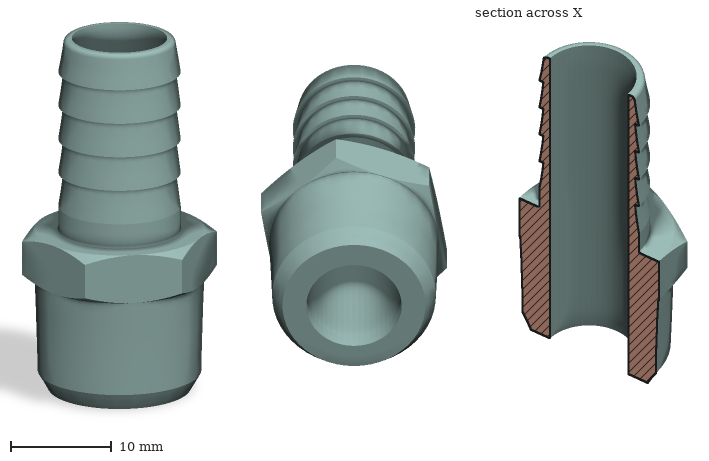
import cadquery as cq
import math

total_height = 36.5
bore_diameter = 9.5

hex_across_flats = 17.0
hex_base_z = 11.5
hex_height = 5.0
hex_face_diameter = hex_across_flats
hex_chamfer_angle = 30.0

taper_top_diameter = 16.9
taper_ratio = 1 / 16
lead_in_height = 1.8
lead_in_angle = 30.0

barb_count = 5
barb_pitch = 3.5
barb_crest_diameter = 12.2
barb_root_diameter = 11.25
tip_diameter = 11.02
tip_fillet = 0.5
neck_fillet = 0.22

hex_top_z = hex_base_z + hex_height


def slope(angle):
    return math.tan(math.radians(angle))


def make_tapered_end():
    top_radius = taper_top_diameter / 2
    lead_in_top_radius = top_radius - (hex_base_z - lead_in_height) * taper_ratio / 2
    bottom_radius = lead_in_top_radius - lead_in_height * slope(lead_in_angle)
    profile = (
        cq.Workplane("XZ")
        .moveTo(0, 0)
        .lineTo(bottom_radius, 0)
        .lineTo(lead_in_top_radius, lead_in_height)
        .lineTo(top_radius, hex_base_z)
        .lineTo(0, hex_base_z)
        .close()
    )
    return profile.revolve(360, (0, 0, 0), (0, 1, 0))


def make_hexagon():
    across_corners = hex_across_flats / math.cos(math.radians(30))
    prism = (
        cq.Workplane("XY", origin=(0, 0, hex_base_z))
        .polygon(6, across_corners)
        .extrude(hex_height)
    )
    face_radius = hex_face_diameter / 2
    half_height = hex_height / 2
    middle_radius = face_radius + half_height / slope(hex_chamfer_angle)
    trimming_cone = (
        cq.Workplane("XZ")
        .moveTo(0, hex_base_z)
        .lineTo(face_radius, hex_base_z)
        .lineTo(middle_radius, hex_base_z + half_height)
        .lineTo(face_radius, hex_top_z)
        .lineTo(0, hex_top_z)
        .close()
        .revolve(360, (0, 0, 0), (0, 1, 0))
    )
    return prism.intersect(trimming_cone)


def make_hose_tail():
    crest_radius = barb_crest_diameter / 2
    root_radius = barb_root_diameter / 2
    profile = cq.Workplane("XZ").moveTo(0, hex_top_z).lineTo(crest_radius + neck_fillet, hex_top_z)
    diagonal_inset = neck_fillet * (1 - math.sqrt(0.5))
    profile = profile.threePointArc(
        (crest_radius + diagonal_inset, hex_top_z + diagonal_inset),
        (crest_radius, hex_top_z + neck_fillet),
    )
    for barbs_above in reversed(range(barb_count)):
        root_z = total_height - barbs_above * barb_pitch
        profile = profile.lineTo(crest_radius, root_z - barb_pitch)
        end_radius = root_radius if barbs_above else tip_diameter / 2
        profile = profile.lineTo(end_radius, root_z)
    tail = profile.lineTo(0, total_height).close().revolve(360, (0, 0, 0), (0, 1, 0))
    return tail.faces(">Z").edges().fillet(tip_fillet)


body = make_tapered_end().union(make_hexagon()).union(make_hose_tail())
bore = cq.Workplane("XY").circle(bore_diameter / 2).extrude(total_height)
result = body.cut(bore)